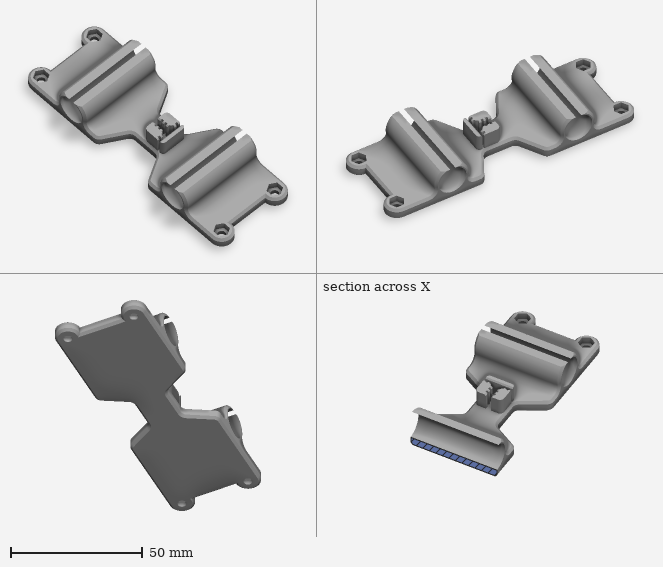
import cadquery as cq
import math

length = 110.0
width = 38.0
height = 15.5
plate_thickness = 5.0
edge_chamfer = 1.0
neck_width = 13.9
neck_end_x = 7.0
wing_end_x = 14.0
waist_fillet = 3.0

hole_spacing_y = 27.9
screw_diameter = 3.4
nut_across_corners = 6.5
nut_depth = 3.0
ear_y = hole_spacing_y / 2
ear_radius = width / 2 - ear_y
ear_x = length / 2 - ear_radius

tube_x = 28.0
tube_axis_z = 9.6
tube_outer_radius = 7.6
bore_diameter = 12.1
foot_fillet = 2.9

clamp_top_z = 12.0
clamp_half_width = neck_width / 2 - edge_chamfer
lead_in = 0.5
block_left_x = -1.3
block_root_x = 5.1
block_root_y = 2.1
tooth_height = 1.0
tooth_pitch = 2.0
tooth_width = tooth_pitch / 2
block_outer_fillet = 1.8
block_inner_fillet = tooth_width
inner_tooth_count = 3
side_tooth_count = 2
wall_left_x = 7.0
wall_thickness = 2.0


def box(x_min, x_max, y_min, y_max, z_min, z_max):
    """Axis-aligned box given by its limits."""
    return (
        cq.Workplane("XY")
        .box(x_max - x_min, y_max - y_min, z_max - z_min, centered=False)
        .translate((x_min, y_min, z_min))
    )


def make_plate():
    """Two wings joined by a narrow neck, with a round ear at each outer corner."""
    half_width = width / 2
    half_neck = neck_width / 2
    outline = [
        (-ear_x, half_width),
        (-wing_end_x, half_width),
        (-neck_end_x, half_neck),
        (neck_end_x, half_neck),
        (wing_end_x, half_width),
        (ear_x, half_width),
    ]
    mirrored = [(x, -y) for x, y in reversed(outline)]
    plate = cq.Workplane("XY").polyline(outline + mirrored).close().extrude(plate_thickness)
    waist_reach = (wing_end_x + ear_x) / 2
    waist = cq.selectors.BoxSelector((-waist_reach, -width, 0), (waist_reach, width, plate_thickness))
    plate = plate.edges("|Z").edges(waist).fillet(waist_fillet)
    ears = cq.Workplane("XY").rarray(2 * ear_x, 2 * ear_y, 2, 2).circle(ear_radius).extrude(plate_thickness)
    return plate.union(ears)


def make_tube_hump(center_x):
    """Round bar along Y that flows into the plate through a fillet on each side."""
    center_drop = tube_axis_z - plate_thickness - foot_fillet
    center_reach = tube_outer_radius + foot_fillet
    foot_x = math.sqrt(center_reach ** 2 - center_drop ** 2)
    tangent_x = foot_x * tube_outer_radius / center_reach
    tangent_z = tube_axis_z - center_drop * tube_outer_radius / center_reach
    fillet_angle = (math.atan2(center_drop, foot_x) - math.pi / 2) / 2
    middle_x = foot_x - foot_fillet * math.cos(fillet_angle)
    middle_z = plate_thickness + foot_fillet + foot_fillet * math.sin(fillet_angle)
    return (
        cq.Workplane("XZ", origin=(center_x, width / 2, 0))
        .moveTo(-foot_x, plate_thickness)
        .threePointArc((-middle_x, middle_z), (-tangent_x, tangent_z))
        .threePointArc((0, tube_axis_z + tube_outer_radius), (tangent_x, tangent_z))
        .threePointArc((middle_x, middle_z), (foot_x, plate_thickness))
        .lineTo(foot_x, plate_thickness / 2)
        .lineTo(-foot_x, plate_thickness / 2)
        .close()
        .extrude(width)
    )


def make_nut_pockets():
    """Screw holes through the ears, each with a hexagonal pocket from above."""
    holes = cq.Workplane("XY").rarray(2 * ear_x, 2 * ear_y, 2, 2).circle(screw_diameter / 2)
    pockets = (
        cq.Workplane("XY", origin=(0, 0, plate_thickness - nut_depth))
        .rarray(2 * ear_x, 2 * ear_y, 2, 2)
        .polygon(6, nut_across_corners)
    )
    return holes.extrude(plate_thickness).union(pockets.extrude(nut_depth))


def make_belt_block():
    """Block on the +Y side with belt teeth on its inner face and on its wall-facing face."""
    block = box(block_left_x, block_root_x, block_root_y, clamp_half_width, plate_thickness, clamp_top_z)
    block = block.edges("|Z and <X and >Y").fillet(block_outer_fillet)
    block = block.edges("|Z and >X and <Y").fillet(block_inner_fillet)

    last_tooth_end = block_root_x - block_inner_fillet
    for index in range(inner_tooth_count):
        tooth_end = last_tooth_end - index * tooth_pitch
        tooth_start = block_left_x if index == inner_tooth_count - 1 else tooth_end - tooth_width
        tooth = box(tooth_start, tooth_end, block_root_y - tooth_height, clamp_half_width - block_outer_fillet,
                    plate_thickness, clamp_top_z)
        block = block.union(tooth.edges(">Z and <Y").chamfer(lead_in))

    first_tooth_y = block_root_y + block_inner_fillet
    for index in range(side_tooth_count):
        tooth_start = first_tooth_y + index * tooth_pitch
        tooth_end = min(tooth_start + tooth_width, clamp_half_width)
        tooth = box(block_root_x - tooth_height, block_root_x + tooth_height, tooth_start, tooth_end,
                    plate_thickness, clamp_top_z)
        block = block.union(tooth.edges(">Z and >X").chamfer(lead_in))
    return block


def make_stop_wall():
    """Wall that backs the belt, rounded on its far corners."""
    wall = box(wall_left_x, wall_left_x + wall_thickness, -clamp_half_width, clamp_half_width,
               plate_thickness, clamp_top_z)
    wall = wall.edges("|Z and >X").fillet(wall_thickness - lead_in)
    return wall.edges(">Z and <X").chamfer(lead_in)


body = make_plate()
for side in (-1, 1):
    body = body.union(make_tube_hump(side * tube_x))
body = body.clean()

body = body.faces("<Z").edges().chamfer(edge_chamfer)

upper_edges = cq.selectors.BoxSelector(
    (-length, -width, plate_thickness - edge_chamfer), (length, width, 2 * height))
seam_reach_x = (tube_x + ear_x) / 2
seam_reach_y = neck_width / 4
hump_seams = cq.selectors.BoxSelector(
    (-seam_reach_x, -seam_reach_y, 0), (seam_reach_x, seam_reach_y, 2 * height))
body = body.edges(upper_edges - hump_seams).chamfer(edge_chamfer)

body = body.cut(box(-length, length, -width, width, height, 2 * height))
for side in (-1, 1):
    bore = cq.Workplane("XZ", origin=(side * tube_x, width, tube_axis_z)).circle(bore_diameter / 2)
    body = body.cut(bore.extrude(2 * width))

body = body.cut(make_nut_pockets())

belt_block = make_belt_block()
result = body.union(belt_block).union(belt_block.mirror("XZ")).union(make_stop_wall())